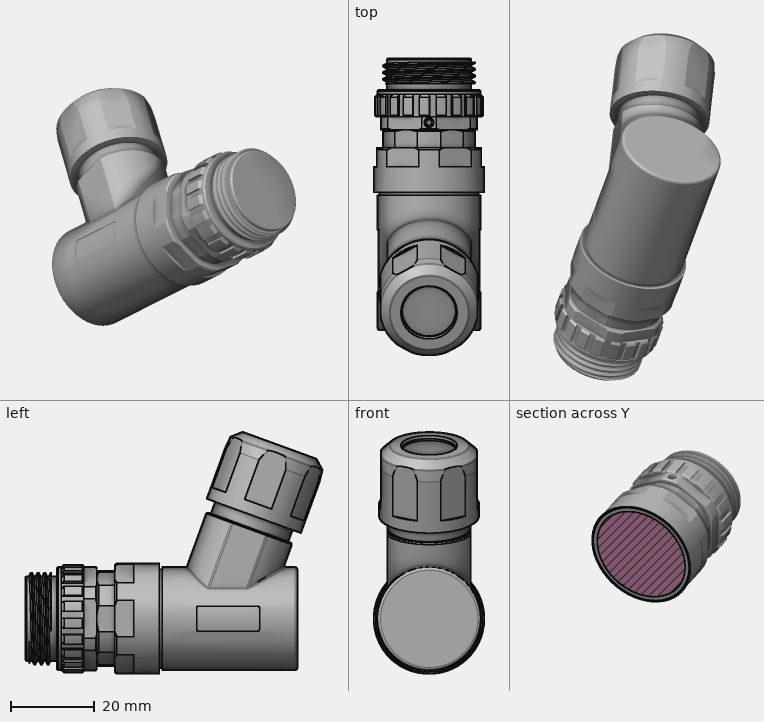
import cadquery as cq
import math

tube_radius = 10.15
tube_tip_chamfer = 0.3
thread_crest_radius = 11.0
thread_four_turns = 6.4
thread_pitch = thread_four_turns / 4
thread_start = 0.9
thread_end = 6.1
thread_phase = -0.59
thread_base_width = 1.15
thread_crest_width = 0.3
thread_root_overlap = 0.3

collar_start = 7.5
collar_radius = 12.45
flange_radius = 12.4
flange_chamfer = 0.3
collar_end = 17.05
collar_chamfer = 0.3
collar_flat_distance = 11.5

grip_start = 8.5
grip_end = 14.0
grip_radius = 12.9
grip_floor_radius = 12.2
grip_front_chamfer = 0.7
grip_back_chamfer = 0.4
groove_count = 20
groove_width = 1.6
groove_phase = 4.2

pin_hole_station = 15.35
pin_hole_radius = 1.15
pin_hole_floor_radius = 0.7
pin_hole_depth = 1.4

neck_radius = 11.45
neck_flat_distance = 11.0
neck_chamfer = 0.4

nut_start = 21.4
nut_end = 32.05
nut_diameter = 26.5
nut_radius = nut_diameter / 2
nut_flat_distance = 12.5
nut_flat_end = 25.95
nut_chamfer = 0.5
nut_chamfer_depth = 0.35
nut_rear_bore_radius = 12.8
nut_rear_bore_depth = 0.4

relief_radius = 11.9
body_start = 32.75
body_end = 65.1
body_radius = 12.4
body_end_fillet = 0.7

label_center = 48.5
label_length = 15.1
label_height = 6.0
label_floor_radius = 12.15
label_corner_radius = 0.4

branch_station = 45.7
branch_tilt = 20.0
branch_radius = 10.95
branch_flat_distance = 10.0
branch_top = 23.2
branch_chamfer = 0.35
branch_flat_edge_radius = 1.1
junction_fillet = 0.35
branch_neck_radius = 9.9

cap_bottom = 26.15
cap_radius = 12.0
cap_flat_distance = 11.5
cap_flat_bottom = 29.15
cap_taper_start = 39.2
cap_shoulder = 42.1
cap_shoulder_radius = 11.7
cap_top = 44.1
cap_face_radius = 9.45
cap_edge_fillet = 0.35
cap_recess_radius = 6.75
cap_recess_floor_radius = 6.4
cap_recess_chamfer_depth = 0.65
cap_recess_depth = 1.15

hexagon_sides = 6
trim_margin = 0.7


def turned(points):
    """Revolve a closed (radius, height) outline about the local Z axis."""
    return cq.Workplane("XZ").polyline(points).close().revolve(360, (0, 0, 0), (0, 1, 0))


def cylinder(radius, start, end):
    return cq.Workplane("XY").workplane(offset=start).circle(radius).extrude(end - start)


def hexagon(flat_distance, start, end):
    """Hexagonal prism about local Z, with two flats facing +X and -X."""
    across_corners = 2 * flat_distance / math.cos(math.pi / hexagon_sides)
    prism = cq.Workplane("XY").workplane(offset=start).polygon(hexagon_sides, across_corners)
    return prism.extrude(end - start).rotate((0, 0, 0), (0, 0, 1), 180 / hexagon_sides)


def threaded_tube():
    half_base = thread_base_width / 2
    half_crest = thread_crest_width / 2
    slope = (half_base - half_crest) / (thread_crest_radius - tube_radius)
    root_radius = tube_radius - thread_root_overlap
    half_root = half_base + slope * thread_root_overlap
    helix_length = thread_end + thread_pitch - thread_phase
    helix = cq.Wire.makeHelix(thread_pitch, helix_length, root_radius)
    ridge = (
        cq.Workplane("XZ")
        .polyline([
            (root_radius, -half_root),
            (thread_crest_radius, -half_crest),
            (thread_crest_radius, half_crest),
            (root_radius, half_root),
        ])
        .close()
        .sweep(cq.Workplane(obj=helix), isFrenet=True)
        .translate((0, 0, thread_phase))
    )
    ridge = ridge.intersect(cylinder(thread_crest_radius + trim_margin, thread_start, thread_end))
    tube = cylinder(tube_radius, 0, collar_start).faces("<Z").chamfer(tube_tip_chamfer)
    return tube.union(ridge)


def collar():
    flange = cylinder(flange_radius, collar_start, grip_start).faces("<Z").chamfer(flange_chamfer)
    hex_band = turned([
        (0, grip_end),
        (collar_radius, grip_end),
        (collar_radius, collar_end - collar_chamfer),
        (collar_radius - collar_chamfer, collar_end),
        (0, collar_end),
    ]).intersect(hexagon(collar_flat_distance, grip_end, collar_end))
    return flange.union(grip_ring()).union(hex_band).cut(pin_hole())


def pin_hole():
    """Tapered blind hole entering the top corner of the hexagonal band."""
    cone = turned([
        (0, collar_radius - pin_hole_depth),
        (pin_hole_floor_radius, collar_radius - pin_hole_depth),
        (pin_hole_radius, collar_radius),
        (0, collar_radius),
    ])
    return cone.rotate((0, 0, 0), (1, 0, 0), -90).translate((0, 0, pin_hole_station))


def grip_ring():
    ring = turned([
        (0, grip_start),
        (grip_radius - grip_front_chamfer, grip_start),
        (grip_radius, grip_start + grip_front_chamfer),
        (grip_radius, grip_end - grip_back_chamfer),
        (grip_radius - grip_back_chamfer, grip_end),
        (0, grip_end),
    ])
    depth = grip_radius - grip_floor_radius
    for index in range(groove_count):
        groove = (
            cq.Workplane("XY")
            .box(2 * depth, groove_width, grip_end - grip_start, centered=(False, True, False))
            .translate((grip_floor_radius, 0, grip_start))
            .rotate((0, 0, 0), (0, 0, 1), index * 360 / groove_count - groove_phase)
        )
        ring = ring.cut(groove)
    return ring


def hexagon_neck():
    return turned([
        (0, collar_end),
        (neck_radius - neck_chamfer, collar_end),
        (neck_radius, collar_end + neck_chamfer),
        (neck_radius, nut_start),
        (0, nut_start),
    ]).intersect(hexagon(neck_flat_distance, collar_end, nut_start))


def coupling_nut():
    front = turned([
        (0, nut_start),
        (nut_radius - nut_chamfer_depth, nut_start),
        (nut_radius, nut_start + nut_chamfer),
        (nut_radius, nut_flat_end),
        (0, nut_flat_end),
    ]).intersect(hexagon(nut_flat_distance, nut_start, nut_flat_end))
    rear = cylinder(nut_radius, nut_flat_end, nut_end)
    rear_bore = cylinder(nut_rear_bore_radius, nut_end - nut_rear_bore_depth, nut_end)
    return front.union(rear).cut(rear_bore)


def label_recesses():
    """Shallow curved-floor pockets on the +X and -X sides of the body."""
    window = (
        cq.Workplane("YZ", origin=(0, 0, label_center))
        .rect(label_height, label_length)
        .extrude(2 * body_radius, both=True)
        .edges("|X")
        .fillet(label_corner_radius)
    )
    start = label_center - label_length
    end = label_center + label_length
    shell = cylinder(body_radius + trim_margin, start, end).cut(cylinder(label_floor_radius, start, end))
    return shell.intersect(window)


def to_body_position(local_part):
    """Turn local +Z toward -Y and put the axis crossing at the origin."""
    return local_part.rotate((0, 0, 0), (1, 0, 0), 90).translate((0, branch_station, 0))


def to_branch_position(local_part):
    return local_part.rotate((0, 0, 0), (1, 0, 0), branch_tilt)


def branch_stub():
    width = 2 * branch_flat_distance
    flats = (
        cq.Workplane("XY")
        .box(width, 3 * branch_radius, branch_top, centered=(True, True, False))
    )
    stub = cylinder(branch_radius, 0, branch_top).intersect(flats)
    stub = stub.edges("|Z").fillet(branch_flat_edge_radius)
    return stub.faces(">Z").chamfer(branch_chamfer)


def cap():
    outline = turned([
        (0, cap_bottom),
        (cap_radius, cap_bottom),
        (cap_radius, cap_taper_start),
        (cap_shoulder_radius, cap_shoulder),
        (cap_face_radius, cap_top),
        (0, cap_top),
    ])
    rim = cq.selectors.BoxSelector(
        (-cap_radius, -cap_radius, cap_shoulder - cap_edge_fillet),
        (cap_radius, cap_radius, cap_top + cap_edge_fillet),
        boundingbox=True,
    )
    outline = outline.edges(rim).edges("%CIRCLE").fillet(cap_edge_fillet)
    flats = hexagon(cap_flat_distance, cap_flat_bottom, cap_top)
    recess_floor = cap_top - cap_recess_depth
    recess = turned([
        (0, recess_floor),
        (cap_recess_floor_radius, recess_floor),
        (cap_recess_floor_radius, cap_top - cap_recess_chamfer_depth),
        (cap_recess_radius, cap_top),
        (0, cap_top),
    ])
    lower_ring = cylinder(cap_radius, cap_bottom, cap_flat_bottom)
    return outline.intersect(flats.union(lower_ring)).cut(recess)


body = to_body_position(
    cylinder(body_radius, body_start, body_end)
    .faces(">Z")
    .edges()
    .fillet(body_end_fillet)
)
housing = body.union(to_branch_position(branch_stub()))
junction = cq.selectors.BoxSelector(
    (-body_radius, -2 * branch_radius, body_radius / 2),
    (body_radius, 2 * branch_radius, body_radius + junction_fillet),
    boundingbox=True,
)
housing = housing.edges(junction).fillet(junction_fillet)
housing = housing.cut(to_body_position(label_recesses()))

connector = (
    threaded_tube()
    .union(collar())
    .union(hexagon_neck())
    .union(coupling_nut())
    .union(cylinder(relief_radius, nut_end - nut_rear_bore_depth, body_start))
)
cable_end = cylinder(branch_neck_radius, branch_top, cap_bottom).union(cap())

result = housing.union(to_body_position(connector)).union(to_branch_position(cable_end))